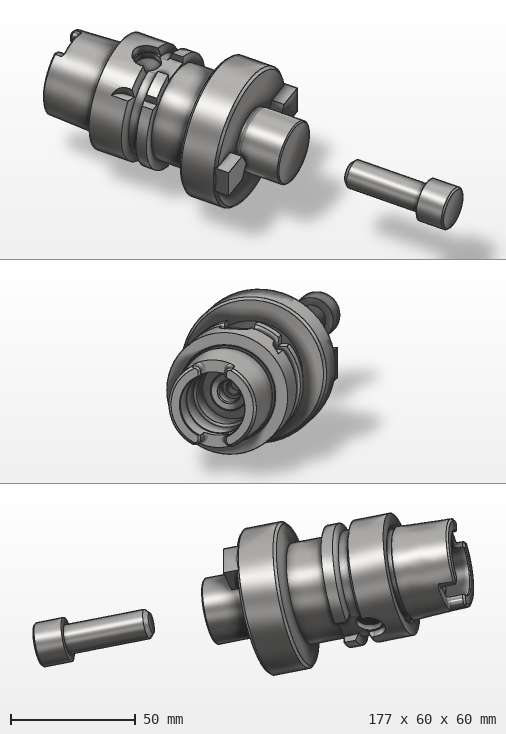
import cadquery as cq
import math

TOTAL_LENGTH = 177.0

NOSE_RADIUS = 18.0
NOSE_CHAMFER_LENGTH = 0.7
NOSE_CHAMFER_DEPTH = 1.0
TAPER_END_X = 23.2
TAPER_END_RADIUS = 19.1
RELIEF_LENGTH = 0.4
RELIEF_RADIUS = 18.4

FLANGE_FACE_X = 25.0
FLANGE_RADIUS = 25.0
FLANGE_END_X = 51.0
FACE_RECESS_RADIUS = 20.0
FACE_RECESS_DEPTH = 0.7
FACE_RECESS_TAPER = 0.5
GROOVE_START_X = 39.6
GROOVE_END_X = 46.2
GROOVE_SIDE_LENGTH = 1.5
GROOVE_RADIUS = 21.6

BODY_RADIUS = 20.7
BODY_END_X = 66.9
COLLAR_START_X = 68.5
COLLAR_END_X = 85.1
COLLAR_RADIUS = 60.0 / 2
COLLAR_CHAMFER = 1.0

SPIGOT_END_X = 104.8
SPIGOT_RADIUS = 27.0 / 2
SPIGOT_CHAMFER = 0.5
NECK_RADIUS = 26.5 / 2
NECK_LENGTH = 1.0
NECK_CONE_LENGTH = 1.0

BORE_RADIUS = 26.0 / 2
BORE_MOUTH_RADIUS = 27.0 / 2
BORE_MOUTH_LENGTH = 0.5
LEAD_RADIUS = 26.5 / 2
LEAD_DEPTH = 10.5
SEAT_X = 21.2
SEAT_LENGTH = 0.5
SEAT_RADIUS = 11.9
BORE_FLOOR_X = 31.9

BOSS_RADIUS = 8.0
BOSS_HEIGHT = 3.5
BOSS_CHAMFER = 0.5
SOCKET_RADIUS = 10.0 / 2
SOCKET_CHAMFER = 0.5
SOCKET_DEPTH = 7.0
PILOT_RADIUS = 6.4 / 2
PILOT_CHAMFER = 0.5
PILOT_DEPTH = 7.0

DRIVE_SLOT_HALF_WIDTH = 10.1 / 2
DRIVE_SLOT_EDGE_ROUND = 2.1
DRIVE_SLOT_EDGE_HEIGHT = 14.0
DRIVE_SLOT_FILLET = 1.0
DRIVE_SLOT_CHAMFER = 0.9
UPPER_DRIVE_SLOT_DEPTH = 4.2
LOWER_DRIVE_SLOT_DEPTH = 7.3

GRIPPER_SLOT_WIDTH = 12.4
GRIPPER_SLOT_START_X = 32.0
GRIPPER_SLOT_FLOOR = 21.0
GRIPPER_HOLE_RADIUS = 11.0 / 2
GRIPPER_HOLE_DEPTH = 2.7

NOTCH_WALL = 16.0
NOTCH_FLOOR = 15.8
NOTCH_CUTTER_RADIUS = 6.0
NOTCH_CUTTER_X = 37.5

KEY_WIDTH = 12.4
KEY_HEIGHT = 5.5
KEY_OUTER_Y = 29.2
KEY_SHOULDER_Y = 17.9
KEY_POINT_ANGLE = 120.0

SCREW_START_X = 130.0
SCREW_RADIUS = 12.0 / 2
SCREW_TIP_CHAMFER = 1.8
SCREW_HEAD_X = 165.0
SCREW_HEAD_RADIUS = 18.0 / 2
SCREW_HEAD_CHAMFER = 0.7


def turned(profile):
    """Solid turned about the X axis from (x, radius) points; both ends close on the axis."""
    points = [(profile[0][0], 0), *profile, (profile[-1][0], 0)]
    return cq.Workplane("XY").polyline(points).close().revolve(360, (0, 0, 0), (1, 0, 0))


def arbor_blank():
    relief_x = TAPER_END_X + RELIEF_LENGTH
    recess_x = FLANGE_FACE_X + FACE_RECESS_DEPTH
    neck_end_x = COLLAR_END_X + NECK_LENGTH
    return turned([
        (0, NOSE_RADIUS - NOSE_CHAMFER_DEPTH),
        (NOSE_CHAMFER_LENGTH, NOSE_RADIUS),
        (TAPER_END_X, TAPER_END_RADIUS),
        (relief_x, RELIEF_RADIUS),
        (recess_x, RELIEF_RADIUS),
        (recess_x, FACE_RECESS_RADIUS - FACE_RECESS_TAPER),
        (FLANGE_FACE_X, FACE_RECESS_RADIUS),
        (FLANGE_FACE_X, FLANGE_RADIUS),
        (GROOVE_START_X, FLANGE_RADIUS),
        (GROOVE_START_X + GROOVE_SIDE_LENGTH, GROOVE_RADIUS),
        (GROOVE_END_X - GROOVE_SIDE_LENGTH, GROOVE_RADIUS),
        (GROOVE_END_X, FLANGE_RADIUS),
        (FLANGE_END_X, FLANGE_RADIUS),
        (FLANGE_END_X, BODY_RADIUS),
        (BODY_END_X, BODY_RADIUS),
        (COLLAR_START_X, COLLAR_RADIUS - COLLAR_CHAMFER),
        (COLLAR_START_X + COLLAR_CHAMFER, COLLAR_RADIUS),
        (COLLAR_END_X - COLLAR_CHAMFER, COLLAR_RADIUS),
        (COLLAR_END_X, COLLAR_RADIUS - COLLAR_CHAMFER),
        (COLLAR_END_X, NECK_RADIUS),
        (neck_end_x, NECK_RADIUS),
        (neck_end_x + NECK_CONE_LENGTH, SPIGOT_RADIUS),
        (SPIGOT_END_X - SPIGOT_CHAMFER, SPIGOT_RADIUS),
        (SPIGOT_END_X, SPIGOT_RADIUS - SPIGOT_CHAMFER),
    ])


def stepped_bore():
    """Bore of the shank, with the boss left standing on its floor."""
    bore = turned([
        (0, BORE_MOUTH_RADIUS),
        (BORE_MOUTH_LENGTH, LEAD_RADIUS),
        (LEAD_DEPTH, LEAD_RADIUS),
        (LEAD_DEPTH, BORE_RADIUS),
        (SEAT_X, BORE_RADIUS),
        (SEAT_X + SEAT_LENGTH, SEAT_RADIUS),
        (BORE_FLOOR_X, SEAT_RADIUS),
    ])
    boss_x = BORE_FLOOR_X - BOSS_HEIGHT
    boss = turned([
        (boss_x, BOSS_RADIUS - BOSS_CHAMFER),
        (boss_x + BOSS_CHAMFER, BOSS_RADIUS),
        (BORE_FLOOR_X, BOSS_RADIUS),
    ])
    socket_floor_x = boss_x + SOCKET_DEPTH
    socket = turned([
        (boss_x, SOCKET_RADIUS),
        (boss_x + SOCKET_CHAMFER, SOCKET_RADIUS - SOCKET_CHAMFER),
        (socket_floor_x, SOCKET_RADIUS - SOCKET_CHAMFER),
        (socket_floor_x, PILOT_RADIUS),
        (socket_floor_x + PILOT_CHAMFER, PILOT_RADIUS - PILOT_CHAMFER),
        (socket_floor_x + PILOT_DEPTH, PILOT_RADIUS - PILOT_CHAMFER),
    ])
    return bore.cut(boss).union(socket)


def drive_slot_outline():
    """Outline of the slot on the +Z side: its walls roll outward to shelves near the outside."""
    wall = DRIVE_SLOT_HALF_WIDTH
    edge = DRIVE_SLOT_EDGE_ROUND
    shelf = DRIVE_SLOT_EDGE_HEIGHT + edge
    bend = edge * (1 - math.sqrt(0.5))
    top = NOSE_RADIUS + edge
    side = NOSE_RADIUS
    return (
        cq.Workplane("YZ")
        .moveTo(-wall, 0)
        .lineTo(wall, 0)
        .lineTo(wall, DRIVE_SLOT_EDGE_HEIGHT)
        .threePointArc((wall + bend, shelf - bend), (wall + edge, shelf))
        .lineTo(side, shelf)
        .lineTo(side, top)
        .lineTo(-side, top)
        .lineTo(-side, shelf)
        .lineTo(-wall - edge, shelf)
        .threePointArc((-wall - bend, shelf - bend), (-wall, DRIVE_SLOT_EDGE_HEIGHT))
        .close()
    )


def drive_slot(depth):
    """Cutter for the slot on the +Z side, with a rounded floor edge and a chamfered mouth."""
    slot = drive_slot_outline().extrude(depth).faces(">X").edges().fillet(DRIVE_SLOT_FILLET)
    wide_outline = drive_slot_outline().offset2D(DRIVE_SLOT_CHAMFER, "intersection")
    mouth = wide_outline.extrude(DRIVE_SLOT_CHAMFER, taper=45)
    return slot.union(mouth)


def gripper_slot():
    """Cutter for the round-ended slot on the +Z side and the shallow hole in its floor."""
    radius = GRIPPER_SLOT_WIDTH / 2
    center_x = GRIPPER_SLOT_START_X + radius
    length = FLANGE_END_X - center_x
    height = FLANGE_RADIUS - GRIPPER_SLOT_FLOOR
    floor = cq.Workplane("XY", origin=(center_x, 0, GRIPPER_SLOT_FLOOR))
    round_end = floor.circle(radius).extrude(height)
    run_out = floor.center(length / 2, 0).rect(length, GRIPPER_SLOT_WIDTH).extrude(height)
    hole = floor.circle(GRIPPER_HOLE_RADIUS).extrude(-GRIPPER_HOLE_DEPTH)
    return round_end.union(run_out).union(hole)


def orientation_notch():
    """Cutter for the corner notch on the -Y +Z side, closed by a round wall at its inner end."""
    height = FLANGE_RADIUS - NOTCH_FLOOR
    length = FLANGE_END_X - NOTCH_CUTTER_X
    center_y = -NOTCH_WALL - NOTCH_CUTTER_RADIUS
    floor = cq.Workplane("XY", origin=(NOTCH_CUTTER_X, center_y, NOTCH_FLOOR))
    round_end = floor.circle(NOTCH_CUTTER_RADIUS).extrude(height)
    run_out = floor.center(length / 2, 0).rect(length, 2 * NOTCH_CUTTER_RADIUS).extrude(height)
    return round_end.union(run_out)


def drive_key():
    """Key on the +Y side of the collar face, pointed toward the axis."""
    half = KEY_WIDTH / 2
    point_y = KEY_SHOULDER_Y - half / math.tan(math.radians(KEY_POINT_ANGLE / 2))
    return (
        cq.Workplane("YZ", origin=(COLLAR_END_X - COLLAR_CHAMFER, 0, 0))
        .polyline([
            (point_y, 0),
            (KEY_SHOULDER_Y, half),
            (KEY_OUTER_Y, half),
            (KEY_OUTER_Y, -half),
            (KEY_SHOULDER_Y, -half),
        ])
        .close()
        .extrude(COLLAR_CHAMFER + KEY_HEIGHT)
    )


def opposite(feature):
    """The same feature turned half a turn about the X axis."""
    return feature.rotate((0, 0, 0), (1, 0, 0), 180)


def make_arbor():
    arbor = arbor_blank().cut(stepped_bore())
    arbor = arbor.cut(drive_slot(UPPER_DRIVE_SLOT_DEPTH))
    arbor = arbor.cut(opposite(drive_slot(LOWER_DRIVE_SLOT_DEPTH)))
    for slot in (gripper_slot(), opposite(gripper_slot())):
        arbor = arbor.cut(slot)
    arbor = arbor.cut(orientation_notch())
    for key in (drive_key(), opposite(drive_key())):
        arbor = arbor.union(key)
    return arbor


def make_screw():
    return turned([
        (SCREW_START_X, SCREW_RADIUS - SCREW_TIP_CHAMFER),
        (SCREW_START_X + SCREW_TIP_CHAMFER, SCREW_RADIUS),
        (SCREW_HEAD_X, SCREW_RADIUS),
        (SCREW_HEAD_X, SCREW_HEAD_RADIUS),
        (TOTAL_LENGTH - SCREW_HEAD_CHAMFER, SCREW_HEAD_RADIUS),
        (TOTAL_LENGTH, SCREW_HEAD_RADIUS - SCREW_HEAD_CHAMFER),
    ])


arbor = make_arbor()
screw = make_screw()

result = cq.Compound.makeCompound([arbor.val(), screw.val()])